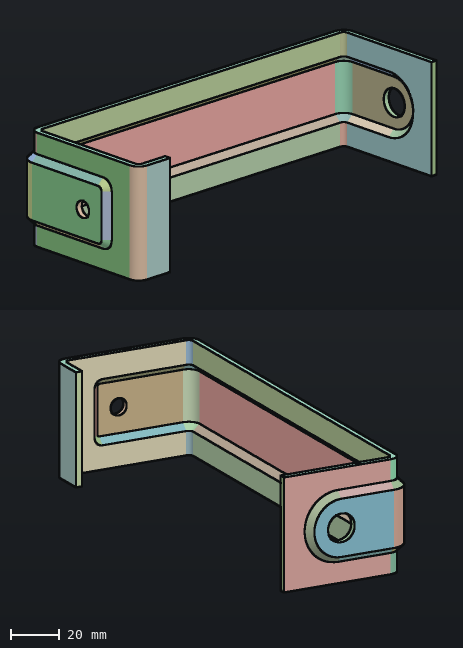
import cadquery as cq
import math

overall_width = 186.0
overall_depth = 68.0
height = 50.0
thickness = 3.0
rib_rise = 3.0
inner_bend_radius = 2.0
outer_bend_radius = inner_bend_radius + thickness

half_width = overall_width / 2 - rib_rise
near_leg_end = overall_depth - rib_rise
far_leg_end = 55.0
lip_length = 18.2

rib_base_width = 31.2
flank_angle = 45
cavity_inset = thickness * math.tan(math.radians(flank_angle / 2))
near_rib_end = 49.3
near_rib_corner_radius = 5.0
far_rib_round_x = 29.8
rib_overlap = 1.9

near_hole_diameter = 7.5
near_hole_x = 35.2
far_hole_diameter = 12.5


def bend(path, corner, incoming, outgoing, radius):
    """Continue a path to a quarter bend between two unit directions at a sharp corner."""
    (x, y), (ix, iy), (ox, oy) = corner, incoming, outgoing
    start = (x - radius * ix, y - radius * iy)
    sagitta = radius * (1 - math.sqrt(0.5))
    middle = (x + sagitta * (ox - ix), y + sagitta * (oy - iy))
    end = (x + radius * ox, y + radius * oy)
    return path.lineTo(*start).threePointArc(middle, end)


def wall_path(inset, start_x):
    """Path from the far leg around the back to the near leg, inset from the outer face."""
    radius = outer_bend_radius - inset
    y = half_width - inset
    path = cq.Workplane("XY").moveTo(start_x, y)
    path = bend(path, (inset, y), (-1, 0), (0, -1), radius)
    return bend(path, (inset, -y), (0, -1), (1, 0), radius)


def make_sheet():
    path = wall_path(0, far_leg_end)
    path = bend(path, (near_leg_end, -half_width), (1, 0), (0, 1), outer_bend_radius)
    path = path.lineTo(near_leg_end, lip_length - half_width)
    section = cq.Workplane("YZ", origin=(far_leg_end, half_width - thickness / 2, 0)).rect(thickness, height)
    return section.sweep(path)


def rib_on_back(inset, half_base):
    """Trapezoidal rib along the back wall and around both bends."""
    half_top = half_base - rib_rise
    start_x = outer_bend_radius + rib_overlap
    path = wall_path(inset, start_x)
    section = cq.Workplane("YZ", origin=(start_x, half_width - inset, 0)).polyline(
        [(0, -half_base), (rib_rise, -half_top), (rib_rise, half_top), (0, half_base)]
    ).close()
    return section.sweep(path)


def leg_pad(outline):
    """Raise an outline with sloping flanks and keep the part beyond the back bend."""
    pad = outline.extrude(rib_rise, taper=flank_angle)
    keep = cq.Workplane("XY").box(overall_depth, 2 * overall_width, height, centered=(False, True, True))
    return pad.intersect(keep.translate((outer_bend_radius, 0, 0)))


def near_pad(inset, half_base, end_inset):
    end_x = near_rib_end - end_inset
    start_x = -outer_bend_radius
    outline = (
        cq.Sketch()
        .push([((start_x + end_x) / 2, 0)])
        .rect(end_x - start_x, 2 * half_base)
        .reset()
        .vertices(">X")
        .fillet(near_rib_corner_radius - end_inset)
    )
    plane = cq.Workplane("XZ", origin=(0, inset - half_width, 0))
    return leg_pad(plane.placeSketch(outline))


def far_pad(inset, half_base):
    start_x = -outer_bend_radius
    outline = (
        cq.Workplane("XZ", origin=(0, -half_width + inset, 0))
        .moveTo(start_x, -half_base)
        .lineTo(far_rib_round_x, -half_base)
        .threePointArc((far_rib_round_x + half_base, 0), (far_rib_round_x, half_base))
        .lineTo(start_x, half_base)
        .close()
    )
    return leg_pad(outline).mirror("XZ")


def make_rib(inset, side_inset):
    """Rib form based at a depth below the outer sheet face, with its sides drawn in."""
    half_base = rib_base_width / 2 - side_inset
    rib = rib_on_back(inset, half_base)
    return rib.union(near_pad(inset, half_base, side_inset)).union(far_pad(inset, half_base))


def leg_hole(x, diameter, side):
    """Cutter through one leg; side is -1 for the near leg and 1 for the far leg."""
    start_y = side * (half_width - outer_bend_radius)
    length = outer_bend_radius + 2 * rib_rise
    cutter = cq.Workplane("XZ", origin=(x, start_y, 0)).circle(diameter / 2)
    return cutter.extrude(-side * length)


result = make_sheet().union(make_rib(0, 0)).cut(make_rib(thickness, cavity_inset))
result = result.cut(leg_hole(near_hole_x, near_hole_diameter, -1))
result = result.cut(leg_hole(far_rib_round_x, far_hole_diameter, 1))